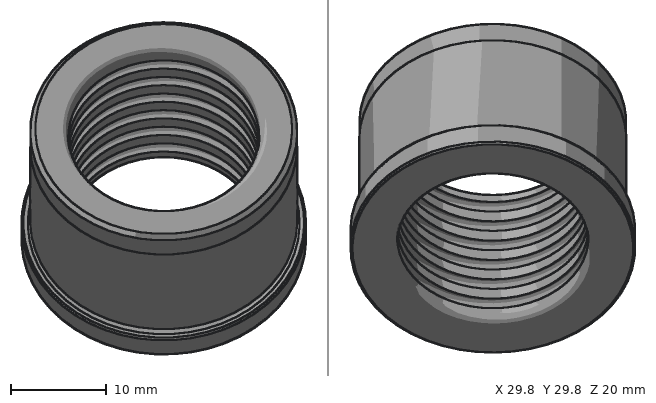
import cadquery as cq

height = 20.0
flange_radius = 14.9
flange_height = 2.98
flange_chamfer = 0.2

body_radius = 13.98
lead_height = 2.98
lead_relief = 0.01
lead_chamfer_width = 0.55
lead_chamfer_height = 0.42

undercut_cone_height = 0.5
undercut_depth = 0.18
ramp_inner_radius = 14.2
ramp_outer_radius = 14.5
ramp_height = 0.05

bore_radius = 10.0
mouth_round = 1.0
groove_count = 6
groove_pitch = 3.0
groove_radius = 0.75


def make_bushing_blank():
    """Revolve the outer profile, including the solid core."""
    cone_top = flange_height + undercut_cone_height
    cone_bottom = flange_height - ramp_height
    neck_radius = body_radius - (cone_top - cone_bottom)
    floor_middle_radius = (neck_radius + ramp_inner_radius) / 2
    lead_radius = body_radius - lead_relief
    profile = (
        cq.Workplane("XZ")
        .moveTo(0, 0)
        .lineTo(flange_radius - flange_chamfer, 0)
        .lineTo(flange_radius, flange_chamfer)
        .lineTo(flange_radius, flange_height - flange_chamfer)
        .lineTo(flange_radius - flange_chamfer, flange_height)
        .lineTo(ramp_outer_radius, flange_height)
        .lineTo(ramp_inner_radius, cone_bottom)
        .threePointArc(
            (floor_middle_radius, flange_height - undercut_depth),
            (neck_radius, cone_bottom),
        )
        .lineTo(body_radius, cone_top)
        .lineTo(body_radius, height - lead_height)
        .lineTo(lead_radius, height - lead_height)
        .lineTo(lead_radius, height - lead_chamfer_height)
        .lineTo(lead_radius - lead_chamfer_width, height)
        .lineTo(0, height)
        .close()
    )
    return profile.revolve(360, (0, 0, 0), (0, 1, 0))


def cut_bore(body):
    """Bore through the core and round both mouths."""
    bore = cq.Workplane("XY").circle(bore_radius).extrude(height)
    bored = body.cut(bore)
    reach = (flange_radius + bore_radius) / 2
    bore_region = cq.selectors.BoxSelector(
        (-reach, -reach, -reach),
        (reach, reach, height + reach),
        boundingbox=True,
    )
    return bored.edges(bore_region).edges("%CIRCLE").fillet(mouth_round)


def cut_ring_grooves(body):
    """Cut evenly spaced half-round rings, centred along the bore."""
    first_height = (height - (groove_count - 1) * groove_pitch) / 2
    for index in range(groove_count):
        ring = cq.Solid.makeTorus(
            bore_radius,
            groove_radius,
            cq.Vector(0, 0, first_height + index * groove_pitch),
            cq.Vector(0, 0, 1),
        )
        body = body.cut(cq.Workplane(obj=ring))
    return body


result = cut_ring_grooves(cut_bore(make_bushing_blank()))